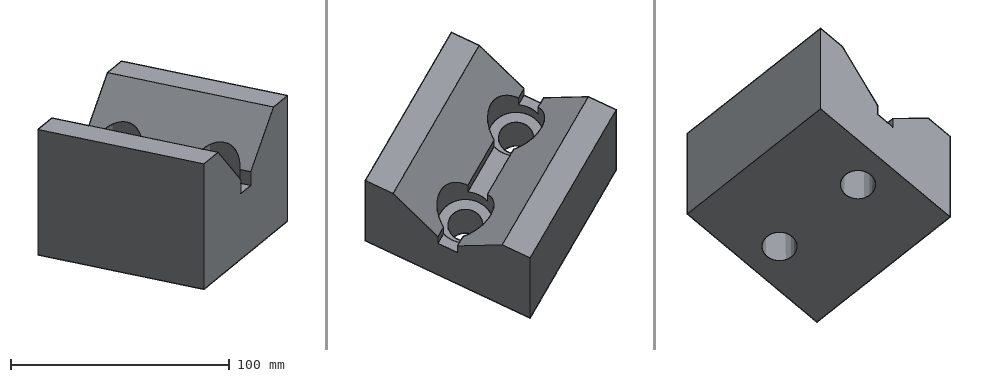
import cadquery as cq

length = 85.0
width = 85.0
height = 63.0

land_width = 14.4
slot_width = 10.0
slot_depth = 30.0

hole_spacing = 50.0
hole_diameter = 16.0
counterbore_diameter = 26.0
counterbore_depth = 38.0

groove_half_width = width / 2 - land_width
slot_half_width = slot_width / 2
groove_depth = groove_half_width - slot_half_width


def block_profile():
    """End outline of the block: one half, mirrored about the Z axis."""
    return (
        cq.Workplane("YZ")
        .moveTo(0, 0)
        .lineTo(width / 2, 0)
        .lineTo(width / 2, height)
        .lineTo(groove_half_width, height)
        .lineTo(slot_half_width, height - groove_depth)
        .lineTo(slot_half_width, height - slot_depth)
        .lineTo(0, height - slot_depth)
        .mirrorY()
    )


block = block_profile().extrude(length / 2, both=True)

hole_cutters = (
    cq.Workplane("XY", origin=(0, 0, height))
    .pushPoints([(-hole_spacing / 2, 0), (hole_spacing / 2, 0)])
)
through_holes = hole_cutters.circle(hole_diameter / 2).extrude(-height)
counterbores = hole_cutters.circle(counterbore_diameter / 2).extrude(-counterbore_depth)

result = block.cut(through_holes).cut(counterbores)